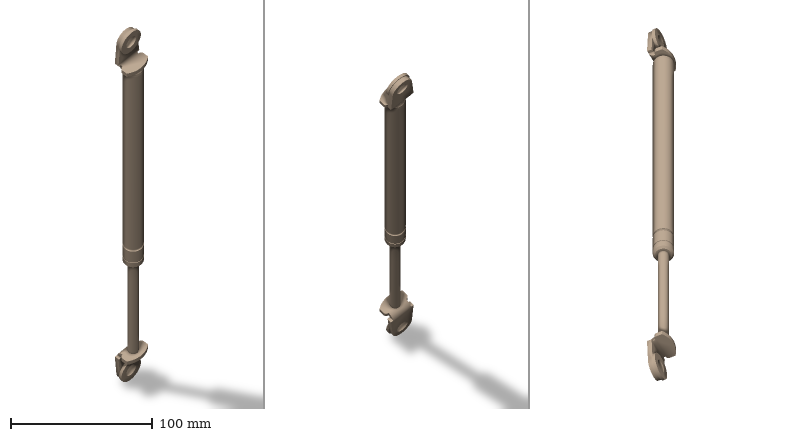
import cadquery as cq
import math

total_length = 380.0
total_depth = 15.5

tube_radius = 7.5
tube_top = 156.0
tube_bottom = -58.0
neck_radius = 6.0
neck_height = 2.0
shoulder_height = 2.3
shoulder_inset = 0.2
rod_radius = 4.0
nose_height = 1.5
nose_inset = 1.5
bead_z = -38.5
bead_radius = 1.0
seal_groove_z = -51.3
seal_groove_width = 1.5
seal_groove_depth = 0.5

sheet = 3.6
seat_width = 22.0
seat_corner_x = 4.0
seat_rear_radius = 2.3
bend_width = 16.7
relief_depth = 5.5
relief_height = 4.5
bend_inner_radius = 2.3
tab_end_radius = 9.0
tab_base_width = 21.3

flange_radius = 10.07
flange_thickness = 2.3
barrel_radius = 7.5
bore_radius = 5.0

back_x = -total_depth / 2
front_x = total_depth / 2
tab_front_x = back_x + sheet
eye_z = total_length / 2 - flange_radius
seat_top = tube_top + sheet


def cylinder_x(radius, start_x, length):
    """Cylinder along +X through the bracket eye."""
    return cq.Workplane("YZ", origin=(start_x, 0, eye_z)).circle(radius).extrude(length)


def ring_groove(middle_z, width, depth):
    """Square-sided ring to cut from the outside of the tube."""
    return (
        cq.Workplane("XY", origin=(0, 0, middle_z - width / 2))
        .circle(tube_radius + depth)
        .circle(tube_radius - depth)
        .extrude(width)
    )


def make_tube():
    shoulder_z = tube_top - neck_height
    profile = (
        cq.Workplane("XZ")
        .moveTo(0, tube_bottom)
        .lineTo(tube_radius - nose_inset, tube_bottom)
        .lineTo(tube_radius, tube_bottom + nose_height)
        .lineTo(tube_radius, bead_z - bead_radius)
        .threePointArc((tube_radius - bead_radius, bead_z), (tube_radius, bead_z + bead_radius))
        .lineTo(tube_radius, shoulder_z - shoulder_height)
        .lineTo(tube_radius - shoulder_inset, shoulder_z)
        .lineTo(neck_radius, tube_top)
        .lineTo(0, tube_top)
        .close()
    )
    tube = profile.revolve(360, (0, 0, 0), (0, 1, 0))
    return tube.cut(ring_groove(seal_groove_z, seal_groove_width, seal_groove_depth))


def make_rod():
    rod_bottom = -tube_top
    return cq.Workplane("XY", origin=(0, 0, rod_bottom)).circle(rod_radius).extrude(tube_bottom - rod_bottom)


def angle_sheet():
    """Bent sheet of full width, with concentric inner and outer bend radii."""
    top_z = total_length / 2
    outer_radius = bend_inner_radius + sheet
    center_x = back_x + outer_radius
    center_z = tube_top + outer_radius
    diagonal = math.sqrt(0.5)
    return (
        cq.Workplane("XZ", origin=(0, seat_width / 2, 0))
        .moveTo(front_x, tube_top)
        .lineTo(center_x, tube_top)
        .threePointArc(
            (center_x - outer_radius * diagonal, center_z - outer_radius * diagonal),
            (back_x, center_z),
        )
        .lineTo(back_x, top_z)
        .lineTo(tab_front_x, top_z)
        .lineTo(tab_front_x, center_z)
        .threePointArc(
            (center_x - bend_inner_radius * diagonal, center_z - bend_inner_radius * diagonal),
            (center_x, seat_top),
        )
        .lineTo(front_x, seat_top)
        .close()
        .extrude(seat_width)
    )


def seat_outline():
    """Prism that rounds the front edge of the seat."""
    half_width = seat_width / 2
    return (
        cq.Workplane("XY", origin=(0, 0, tube_top))
        .moveTo(back_x, -half_width)
        .lineTo(seat_corner_x, -half_width)
        .threePointArc((front_x, 0), (seat_corner_x, half_width))
        .lineTo(back_x, half_width)
        .close()
        .extrude(total_length)
    )


def tab_outline():
    """Prism that tapers the tab into its rounded end; the seat keeps its full width."""
    half_seat = seat_width / 2
    half_base = tab_base_width / 2
    relief_top = tube_top + relief_height
    rise = eye_z - relief_top
    reach = math.hypot(half_base, rise)
    tangent_angle = math.acos(tab_end_radius / reach) - math.atan2(rise, half_base)
    tangent_y = tab_end_radius * math.cos(tangent_angle)
    tangent_z = eye_z + tab_end_radius * math.sin(tangent_angle)
    return (
        cq.Workplane("YZ", origin=(back_x, 0, 0))
        .moveTo(-half_seat, tube_top)
        .lineTo(half_seat, tube_top)
        .lineTo(half_seat, relief_top)
        .lineTo(half_base, relief_top)
        .lineTo(tangent_y, tangent_z)
        .threePointArc((0, eye_z + tab_end_radius), (-tangent_y, tangent_z))
        .lineTo(-half_base, relief_top)
        .lineTo(-half_seat, relief_top)
        .close()
        .extrude(total_depth)
    )


def bend_reliefs():
    """Notches at both sides of the bend."""
    notch_depth = (seat_width - bend_width) / 2
    notch_middle = (bend_width + notch_depth) / 2
    return (
        cq.Workplane("XY", origin=(back_x + relief_depth / 2, 0, tube_top + relief_height / 2))
        .pushPoints([(0, -notch_middle), (0, notch_middle)])
        .box(relief_depth, notch_depth, relief_height)
    )


def make_bracket():
    bracket = angle_sheet().intersect(seat_outline()).intersect(tab_outline())
    bracket = bracket.cut(bend_reliefs())
    rear_corner = cq.selectors.BoxSelector(
        (back_x + relief_depth - sheet / 2, -seat_width, 0),
        (back_x + relief_depth + sheet / 2, seat_width, total_length),
    )
    bracket = bracket.edges("|Z and (<Y or >Y)").edges(rear_corner).fillet(seat_rear_radius)
    return bracket.cut(cylinder_x(barrel_radius, back_x, sheet))


def make_bushing():
    barrel = cylinder_x(barrel_radius, back_x, sheet)
    flange = cylinder_x(flange_radius, tab_front_x, flange_thickness)
    bore = cylinder_x(bore_radius, back_x, sheet + flange_thickness)
    return barrel.union(flange).cut(bore)


tube = make_tube()
rod = make_rod()
bodies = [tube.val(), rod.val()]
for end_part in (make_bracket(), make_bushing()):
    bodies.append(end_part.val())
    bodies.append(end_part.mirror("XY").val())

result = cq.Compound.makeCompound(bodies)